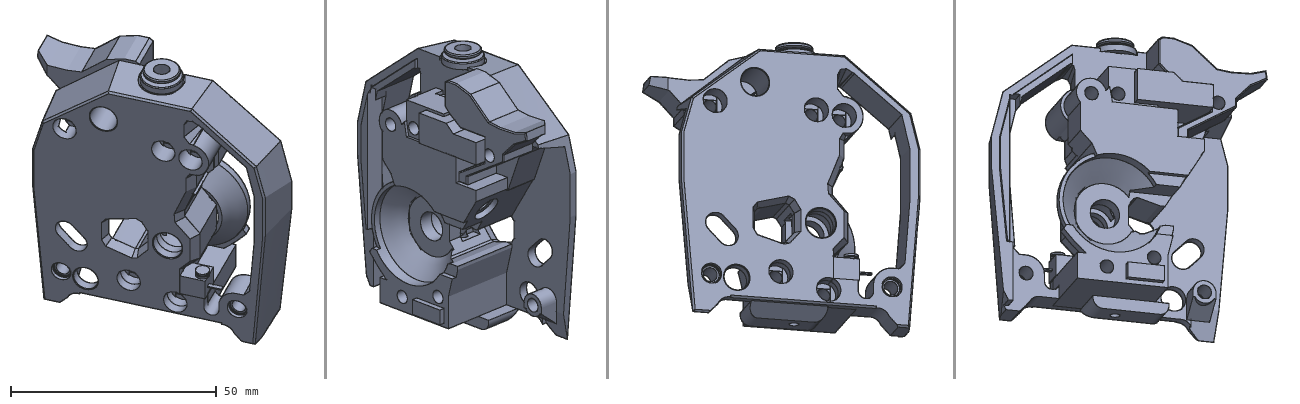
import cadquery as cq
import math

PLATE_Y = 2.6
FRAME_Y = 11.8
REAR_START_Y = 11.9
LEVER_BACK_Y = 22.2
REAR_BACK_Y = 23.0
ARM_BACK_Y = 24.7
FOOT_BACK_Y = 7.9
FOOT_TOP_Z = -19.5
FAR = 60.0

TOP_Z = 35.71
BOTTOM_Z = -35.7
PLATE_BOTTOM_Z = -31.4
REAR_LEFT_X = -17.2
REAR_RIGHT_X = 15.1
SEAM_Z = 4.5

LEVER_PIVOT = (-20.9, 18.1)
CORNER_BOSS = (11.5, 16.8)
BODY_SCREWS = [LEVER_PIVOT, (4.5, 17.7), CORNER_BOSS, (-4.4, -24.0), (7.6, -27.6)]
FOOT_SCREWS = [(-21.8, -25.7), (23.5, -25.7)]
GEAR_AXIS = (5.6, -10.9)
FILAMENT_X = 1.1
FILAMENT_Y = 8.5


def extrude_xz(sketch, y_from, y_to, taper=0.0):
    """Extrude a closed XZ sketch from y_from back to y_to."""
    return sketch.extrude(-(y_to - y_from), taper=taper).translate((0, y_from, 0))


def prism(points, y_from, y_to, taper=0.0):
    return extrude_xz(cq.Workplane("XZ").polyline(points).close(), y_from, y_to, taper)


def block(x_from, x_to, y_from, y_to, z_from, z_to):
    size = (x_to - x_from, y_to - y_from, z_to - z_from)
    return cq.Workplane("XY").box(*size, centered=False).translate((x_from, y_from, z_from))


def rod_y(center, diameter, y_from, y_to):
    """Cylinder along Y centred on (x, z)."""
    return extrude_xz(cq.Workplane("XZ").center(*center).circle(diameter / 2), y_from, y_to)


def rod_z(x, y, diameter, z_from, z_to):
    disc = cq.Workplane("XY").center(x, y).circle(diameter / 2)
    return disc.extrude(z_to - z_from).translate((0, 0, z_from))


def edged_hole(center, diameter, y_to, edge):
    """Plain hole from the front face with a small chamfer at its mouth."""
    mouth = cq.Workplane("XZ").center(*center).circle(diameter / 2 + edge)
    mouth = mouth.workplane(offset=-edge).circle(diameter / 2).loft()
    return rod_y(center, diameter, 0, y_to).union(mouth)


SCREW_D = 3.4
SCREW_HEAD_D = 6.0
SCREW_HEAD_DEPTH = 5.0
BRIDGE_STEP = 0.3


def screw_cutter(center):
    """Counterbored hole whose floor steps from a slot to a square to the round hole."""
    x, z = center
    half = SCREW_D / 2
    slot_end = SCREW_HEAD_DEPTH + BRIDGE_STEP
    head = rod_y(center, SCREW_HEAD_D, 0, SCREW_HEAD_DEPTH)
    slot = rod_y(center, SCREW_HEAD_D, SCREW_HEAD_DEPTH, slot_end).intersect(
        block(x - half, x + half, 0, FAR, z - SCREW_HEAD_D, z + SCREW_HEAD_D))
    square = block(x - half, x + half, slot_end, slot_end + BRIDGE_STEP, z - half, z + half)
    return head.union(slot).union(square).union(rod_y(center, SCREW_D, 0, FAR))


def cut_screws(body):
    for center in BODY_SCREWS:
        body = body.cut(screw_cutter(center))
    return body


INSPECTION = [(-11.4, -8.2), (-10.3, -6.8), (-2.5, -4.7), (-1.0, -5.4), (0.6, -7.9),
              (0.6, -13.4), (-2.2, -16.6), (-3.6, -17.0), (-10.3, -15.1), (-11.4, -13.4)]
INSPECTION_TAPER = 21.0
inspection_inset = PLATE_Y * math.tan(math.radians(INSPECTION_TAPER))

GEAR_BORE_D = 7.4
GEAR_POCKET_D = 9.8
GEAR_POCKET_Y = (4.9, 11.0)


SWITCH_LEFT_X = 8.7
SWITCH_RIGHT_X = 15.3
SWITCH_TOP_Z = -19.3
SWITCH_BOTTOM_Z = -24.7
SWITCH_BACK_Y = 6.0


OUTLINE_FRONT = [(-26.4, BOTTOM_Z), (-29.3, -1.9), (-29.3, 9.5), (-26.8, 18.6), (-9.8, 32.1),
                 (11.7, 32.1), (28.3, 18.7), (30.6, 9.7), (30.6, -2.0), (28.0, BOTTOM_Z)]
OUTLINE_BACK = [(-26.6, BOTTOM_Z), (-29.5, -1.8), (-29.5, 9.4), (-27.3, 19.6), (-11.0, 33.0),
                (13.1, 33.0), (30.6, 19.0), (33.45, 7.4), (33.45, -1.0), (30.1, BOTTOM_Z)]
FACE_CHAMFER = 0.5

WINDOW_BOSS_R = 4.7
POCKET_BACK_X = 12.25


def on_circle(center, radius, degrees):
    angle = math.radians(degrees)
    return (center[0] + radius * math.cos(angle), center[1] + radius * math.sin(angle))


def window_sketch():
    """Large opening at the right, bulging around the corner boss and the right foot screw."""
    foot = FOOT_SCREWS[1]
    slot_r = 1.9
    slot_left = foot[0] - WINDOW_BOSS_R - 2 * slot_r
    slot_z = -27.3
    return (
        cq.Workplane("XZ").moveTo(POCKET_BACK_X, 26.6)
        .lineTo(12.6, 27.7).lineTo(13.6, 27.9)
        .lineTo(25.9, 18.1).lineTo(27.9, 9.7).lineTo(27.9, -4.0).lineTo(26.7, FOOT_TOP_Z)
        .lineTo(25.2, foot[1] + WINDOW_BOSS_R).lineTo(foot[0], foot[1] + WINDOW_BOSS_R)
        .threePointArc(on_circle(foot, WINDOW_BOSS_R, 135), on_circle(foot, WINDOW_BOSS_R, 180))
        .lineTo(foot[0] - WINDOW_BOSS_R, slot_z)
        .threePointArc((slot_left + slot_r, slot_z - slot_r), (slot_left, slot_z))
        .lineTo(slot_left, SWITCH_BOTTOM_Z).lineTo(SWITCH_LEFT_X, SWITCH_BOTTOM_Z)
        .lineTo(SWITCH_LEFT_X, -18.9).lineTo(13.1, -14.6).lineTo(13.1, -7.2)
        .lineTo(9.2, -2.9).lineTo(9.2, -0.8).lineTo(12.1, 6.7).lineTo(12.1, 11.2)
        .lineTo(13.4, 12.5)
        .threePointArc(on_circle(CORNER_BOSS, WINDOW_BOSS_R, 0),
                       on_circle(CORNER_BOSS, WINDOW_BOSS_R, 80))
        .lineTo(POCKET_BACK_X, 21.5).close()
    )


def window_bevels():
    """Slanted walls where the left edge of the opening narrows toward the back."""
    edge_front = [(13.5, -20.0), (SWITCH_LEFT_X, -18.9), (SWITCH_LEFT_X, -17.2), (11.4, -14.2),
                  (11.4, -7.4), (7.5, -3.3), (7.3, -0.8), (10.3, 6.7), (10.3, 10.8),
                  (11.2, 12.3), (13.5, 12.5)]
    edge_back = [(13.5, -20.0), (SWITCH_LEFT_X, -18.9), (8.75, -18.85), (13.1, -14.6), (13.1, -7.2),
                 (9.3, -3.0), (9.2, -0.8), (12.1, 6.7), (12.1, 11.2), (12.5, 12.4), (13.5, 12.5)]
    pocket_front = [(14.0, 21.5), (11.3, 21.6), (9.8, 23.4), (9.8, 27.0), (10.5, 28.4), (12.0, 28.7),
                    (14.0, 27.6)]
    pocket_back = [(14.0, 21.5), (12.6, 21.5), (POCKET_BACK_X, 21.8), (POCKET_BACK_X, 26.6),
                   (12.6, 27.7), (13.0, 27.8), (14.0, 27.6)]
    lower = cq.Workplane("XZ").polyline(edge_front).close()
    lower = lower.workplane(offset=-PLATE_Y).polyline(edge_back).close().loft(ruled=True)
    upper = cq.Workplane("XZ").polyline(pocket_front).close()
    upper = upper.workplane(offset=-FRAME_Y).polyline(pocket_back).close().loft(ruled=True)
    return lower.union(upper)


def housing_shell():
    outline = cq.Workplane("XZ").workplane(offset=-FACE_CHAMFER).polyline(OUTLINE_FRONT).close()
    walls = outline.workplane(offset=FACE_CHAMFER - FRAME_Y).polyline(OUTLINE_BACK).close()
    outline = cq.Workplane("XZ").polyline(OUTLINE_FRONT).close()
    chamfered_face = outline.offset2D(-FACE_CHAMFER).extrude(-FACE_CHAMFER, taper=-45)
    shell = walls.loft(ruled=True).union(chamfered_face)
    gap_left, gap_right = -17.0, 19.5
    foot_gap = (
        cq.Workplane("XZ").moveTo(-22.5, BOTTOM_Z).lineTo(-20.1, -33.2)
        .threePointArc((-18.9, -31.8), (gap_left, PLATE_BOTTOM_Z)).lineTo(gap_right, PLATE_BOTTOM_Z)
        .threePointArc((21.5, -31.8), (22.7, -33.2)).lineTo(25.1, BOTTOM_Z).close()
    )
    bottom_chamfer = (
        cq.Workplane("YZ").polyline([(0, PLATE_BOTTOM_Z + FACE_CHAMFER), (0, PLATE_BOTTOM_Z),
                                     (FACE_CHAMFER, PLATE_BOTTOM_Z)]).close()
        .extrude(gap_right - gap_left).translate((gap_left, 0, 0))
    )
    return shell.cut(extrude_xz(foot_gap, 0, FRAME_Y)).cut(bottom_chamfer)


def mechanism_pocket():
    """Space behind the plate, under the upper wall and left of the right leg."""
    shoulder_z = 16.3
    below = block(-FAR, REAR_RIGHT_X, PLATE_Y, FAR, -FAR, SEAM_Z)
    beside = prism([(-FAR, SEAM_Z), (-FAR, shoulder_z), (-22.5, shoulder_z),
                    (-21.0, 14.5), (REAR_LEFT_X, SEAM_Z)], PLATE_Y, FAR)
    shoulder_slope = (
        cq.Workplane("YZ").polyline([(PLATE_Y, shoulder_z), (FRAME_Y, shoulder_z),
                                     (FRAME_Y, 18.7)]).close()
        .extrude(-FAR).translate((-22.5, 0, 0))
    )
    return below.union(beside).union(shoulder_slope)


def foot_relief():
    """Thins the left foot to a wedge and shortens the right foot and its screw boss."""
    left = (
        cq.Workplane("YZ").polyline([(PLATE_Y, -28.2), (0.5, BOTTOM_Z), (PLATE_Y, BOTTOM_Z)])
        .close().extrude(10).translate((-30, 0, 0))
    )
    right = block(20, FAR, FOOT_BACK_Y, FAR, BOTTOM_Z, -34.6)
    right_boss = block(15, 28, FOOT_BACK_Y, FAR, BOTTOM_Z, FOOT_TOP_Z)
    corner = prism([(28.6, BOTTOM_Z), (30.3, -32.5), (FAR, -32.5), (FAR, BOTTOM_Z)], 0, FAR)
    return left.union(right).union(right_boss).union(corner)


def leg_relief():
    """Long chamfer on the inner back edge of the right leg."""
    leg_height = 38.0
    section = [(26.5, 9.0), (27.9, 9.0), (29.2, FRAME_Y + LIP_HEIGHT), (26.5, FRAME_Y + LIP_HEIGHT)]
    return cq.Workplane("XY").polyline(section).close().extrude(leg_height).translate((0, 0, FOOT_TOP_Z))


LIP_INSET = 2.0
LIP_HEIGHT = 0.9


def rear_lip():
    """Low lip standing on the back of the right leg."""
    lip = cq.Workplane("XZ").polyline(OUTLINE_BACK).close().offset2D(-LIP_INSET)
    lip = extrude_xz(lip, FRAME_Y, FRAME_Y + LIP_HEIGHT)
    return lip.intersect(block(13.2, FAR, 0, FAR, FOOT_TOP_Z, FAR))


def bottom_tab():
    tab_left, tab_right = -11.4, 7.9
    tab_bottom = -34.5
    tab_radius = 2.5
    tab_front, tab_back = 1.65, 12.5
    tab = block(tab_left, tab_right, tab_front, tab_back, tab_bottom, PLATE_BOTTOM_Z)
    slope = (
        cq.Workplane("YZ").polyline([(tab_front, PLATE_BOTTOM_Z), (5.5, tab_bottom),
                                     (tab_front, tab_bottom)]).close()
        .extrude(2 * FAR, both=True)
    )
    return tab.edges("|Y and <Z").fillet(tab_radius).cut(slope)


def foot_standoff():
    """Boss behind the left foot screw, running down into the plate as a ramp."""
    x, z = FOOT_SCREWS[0]
    radius = 2.9
    boss = rod_y((x, z), 2 * radius, PLATE_Y, FOOT_BACK_Y)
    ramp = (
        cq.Workplane("YZ").polyline([(PLATE_Y, z), (FOOT_BACK_Y, z), (FOOT_BACK_Y, z - 1.5),
                                     (PLATE_Y, PLATE_BOTTOM_Z)]).close()
        .extrude(2 * radius).translate((x - radius, 0, 0))
    )
    return boss.union(ramp)


def foot_screw_cutter(center):
    seat = rod_y(center, 5.0, 0, 1.0)
    relief = rod_y(center, 4.4, 1.0, 1.4)
    return seat.union(relief).union(rod_y(center, 3.5, 0, FAR))


def adjuster_slot():
    slot = cq.Workplane("XZ").center(-19.2, -14.3).transformed(rotate=(0, 0, -45))
    return extrude_xz(slot.slot2D(9.4, 5.2), 0, PLATE_Y)


FITTING_D = 10.5
SOCKET_D = 11.4
FITTING_SEAT_Z = 32.2
COLLET_NECK_D = 6.2
COLLET_BOTTOM_Z = 28.0
FILAMENT_D = 2.4


def fitting_socket():
    socket = rod_z(FILAMENT_X, FILAMENT_Y, SOCKET_D, FITTING_SEAT_Z, FAR)
    stem = rod_z(FILAMENT_X, FILAMENT_Y, COLLET_NECK_D, COLLET_BOTTOM_Z, FAR)
    return socket.union(stem).union(filament_path())


def filament_path():
    return rod_z(FILAMENT_X, FILAMENT_Y, FILAMENT_D, -FAR, FAR)


def make_front_housing():
    body = housing_shell().cut(mechanism_pocket()).cut(foot_relief())
    body = body.union(rear_lip()).cut(leg_relief())
    body = body.cut(extrude_xz(window_sketch(), 0, FAR)).cut(window_bevels())
    body = body.union(bottom_tab()).union(foot_standoff())
    body = cut_screws(body).cut(fitting_socket())
    for center in FOOT_SCREWS:
        body = body.cut(foot_screw_cutter(center))
    body = body.cut(prism(INSPECTION, 0, PLATE_Y, INSPECTION_TAPER)).cut(adjuster_slot())
    body = body.cut(edged_hole((-15.5, -26.3), 6.25, PLATE_Y, 0.2))
    body = body.cut(edged_hole((-10.9, 23.6), 7.0, FRAME_Y, 0.15))
    return body.cut(edged_hole(GEAR_AXIS, GEAR_BORE_D, PLATE_Y, 0.2))


CUP_RIM_R = 13.7
CUP_FLOOR_Y = 14.8
CUP_RIM_FRONT_Y = 19.7
CUP_RIM_BACK_Y = 21.6
CUP_WALL = 1.0


def revolve_about_gear(profile):
    """Revolve (radius, y) points about the gear axis, which runs along Y."""
    ring = cq.Workplane("XY").polyline(profile).close().revolve(360, (0, 0, 0), (0, 1, 0))
    return ring.translate((GEAR_AXIS[0], 0, GEAR_AXIS[1]))


cup_floor_r = CUP_RIM_R - (CUP_RIM_FRONT_Y - CUP_FLOOR_Y)


def gear_cup():
    return revolve_about_gear([(0, CUP_FLOOR_Y), (cup_floor_r, CUP_FLOOR_Y),
                               (CUP_RIM_R, CUP_RIM_FRONT_Y), (CUP_RIM_R, CUP_RIM_BACK_Y),
                               (0, CUP_RIM_BACK_Y)])


def gear_cup_cavity():
    cavity_r = CUP_RIM_R - CUP_WALL
    return revolve_about_gear([(0, CUP_FLOOR_Y), (cup_floor_r - CUP_WALL, CUP_FLOOR_Y),
                               (cavity_r, CUP_RIM_FRONT_Y), (cavity_r, FAR), (0, FAR)])


SLOPE_START = (REAR_LEFT_X, 5.0)
SLOPE_END = (-9.7, -7.3)

REAR_OUTLINE = [(REAR_LEFT_X, 14.9), (11.0, 15.2), (14.3, 16.8), (14.3, 6.9), (11.4, 3.9),
                (9.1, -1.2), (9.1, -2.7), (13.0, -7.1), (13.0, -14.6), (8.8, -18.6),
                (8.8, SWITCH_BOTTOM_Z), (REAR_RIGHT_X, SWITCH_BOTTOM_Z), (REAR_RIGHT_X, PLATE_BOTTOM_Z),
                (-7.9, PLATE_BOTTOM_Z), (-7.9, -23.0), (-9.7, -15.8), SLOPE_END, SLOPE_START]


def tension_hole():
    """Counterbored hole, square to the sloping lower left face."""
    across = (SLOPE_END[0] - SLOPE_START[0], SLOPE_END[1] - SLOPE_START[1])
    origin = (SLOPE_START[0] + 0.4 * across[0], 16.2, SLOPE_START[1] + 0.4 * across[1])
    plane = cq.Plane(origin=origin, xDir=(0, 1, 0), normal=(-across[1], 0, across[0]))
    bore = cq.Workplane(plane).circle(2.2).extrude(8)
    return bore.union(cq.Workplane(plane).circle(3.5).extrude(1.5))


def upper_block():
    """Wall behind the fitting, with a shallow recess that clears the fitting."""
    block_top_z = 24.5
    wall = block(-5.6, 6.9, REAR_START_Y, LEVER_BACK_Y, 14.0, block_top_z)
    recess = block(-FAR, 4.5, 0, 14.5, 23.5, FAR)
    link = prism([(6.9, 19.0), (8.2, 17.5), (11.5, 14.0), (6.0, 14.0)], REAR_START_Y, REAR_BACK_Y)
    boss = rod_y(CORNER_BOSS, 7.7, REAR_START_Y, REAR_BACK_Y)
    return wall.cut(recess).union(link).union(boss)


def rear_flange():
    """Corner of the back wall that shows beside the cup."""
    return prism([(8.8, -17.8), (17.8, -17.8), (18.6, -18.9), (16.0, -21.8), (12.9, SWITCH_BOTTOM_Z),
                  (8.8, SWITCH_BOTTOM_Z)], CUP_RIM_BACK_Y - CUP_WALL, REAR_BACK_Y)


def make_rear_housing():
    body = prism(REAR_OUTLINE, PLATE_Y, REAR_BACK_Y)
    body = body.cut(block(-FAR, FAR, 0, REAR_START_Y, SEAM_Z, FAR))
    body = body.union(upper_block()).union(gear_cup()).union(rear_flange())
    body = body.union(block(-6.5, 2.7, REAR_BACK_Y, ARM_BACK_Y - 0.2, -30.3, -26.4))
    body = body.cut(block(-FAR, FAR, CUP_RIM_BACK_Y, FAR, -17.8, -1.8))
    body = body.cut(gear_cup_cavity())
    body = body.cut(block(-4.0, FILAMENT_X, *GEAR_POCKET_Y, -14.0, -7.6))
    inspection = cq.Workplane("XZ").polyline(INSPECTION).close().offset2D(-inspection_inset)
    body = body.cut(extrude_xz(inspection, 0, FAR))
    body = body.cut(block(-FAR, -6.0, 0, FAR, -14.8, -7.3))
    body = body.cut(block(-FAR, -0.5, CUP_FLOOR_Y, FAR, -14.8, -4.5))
    body = body.cut(rod_y(GEAR_AXIS, GEAR_BORE_D, 0, FAR))
    body = body.cut(rod_y(GEAR_AXIS, GEAR_POCKET_D, *GEAR_POCKET_Y))
    body = body.cut(filament_path()).cut(tension_hole())
    body = body.cut(bottom_tab()).cut(rear_lip()).cut(lever_space()).cut(arm_blank())
    return cut_screws(body)


def arm_blank():
    return prism([(-18.9, 21.7), (-11.2, 21.7), (-8.8, 23.8), (0.3, 23.8), (0.3, 15.8),
                  (-18.9, 15.8)], REAR_START_Y, ARM_BACK_Y)


def make_tension_arm():
    return cut_screws(arm_blank())


LEVER_TIP_X = -33.44
LEVER_BOTTOM_Z = 8.0
LEVER_FOOT_X = -10.5
LEVER_EDGE = 0.3


def lever_blank():
    return prism([(LEVER_TIP_X, 25.6), (-33.1, 27.8), (-29.3, 26.7), (-24.4, 26.5), (-20.7, 26.9),
                  (-14.4, 32.3), (-9.7, 33.7), (-6.8, 33.7), (-5.8, 33.0), (-5.8, 26.6),
                  (-7.4, 25.0), (-11.0, 22.4), (-19.1, 22.4), (-19.1, 15.7),
                  (LEVER_FOOT_X, 10.6), (LEVER_FOOT_X, LEVER_BOTTOM_Z), (-13.4, LEVER_BOTTOM_Z),
                  (-13.4, 10.2), (-25.6, 17.6), (-25.6, 19.6), (-29.3, 23.4)],
                 REAR_START_Y, LEVER_BACK_Y)


def lever_space():
    return block(-FAR, LEVER_FOOT_X + 0.1, REAR_START_Y, FAR, LEVER_BOTTOM_Z, FAR)


def make_lever():
    tip_bevel = (
        cq.Workplane("XY").polyline([(LEVER_TIP_X, REAR_START_Y), (LEVER_TIP_X, 15.7),
                                     (-29.6, REAR_START_Y)]).close()
        .extrude(FAR)
    )
    lever = lever_blank().faces(">Y").edges().chamfer(LEVER_EDGE).cut(tip_bevel)
    return cut_screws(lever)


SLEEVE_TOP_Z = 34.0
COLLET_RIM_D = 9.1
COLLET_RIM_Z = 34.6
TUBE_D = 4.0


def make_sleeve():
    sleeve = rod_z(FILAMENT_X, FILAMENT_Y, FITTING_D, FITTING_SEAT_Z, SLEEVE_TOP_Z)
    sleeve = sleeve.faces(">Z").edges().chamfer(0.25)
    return sleeve.cut(rod_z(FILAMENT_X, FILAMENT_Y, COLLET_NECK_D, COLLET_BOTTOM_Z, TOP_Z))


def make_collet():
    rim = rod_z(FILAMENT_X, FILAMENT_Y, COLLET_RIM_D, COLLET_RIM_Z, TOP_Z).edges().chamfer(0.3)
    neck = rod_z(FILAMENT_X, FILAMENT_Y, COLLET_NECK_D, COLLET_BOTTOM_Z, COLLET_RIM_Z)
    return rim.union(neck).cut(rod_z(FILAMENT_X, FILAMENT_Y, TUBE_D, COLLET_BOTTOM_Z, TOP_Z))


BUTTON_X = 13.8
BUTTON_Y = 2.3
BUTTON_TOP_Z = -17.9


def make_switch():
    return block(SWITCH_LEFT_X + 0.1, SWITCH_RIGHT_X, 0, SWITCH_BACK_Y, SWITCH_BOTTOM_Z, SWITCH_TOP_Z)


def make_button():
    """Stepped plunger: two flanges with a groove between them."""
    button = rod_z(BUTTON_X, BUTTON_Y, 2.8, SWITCH_TOP_Z, BUTTON_TOP_Z)
    lower = rod_z(BUTTON_X, BUTTON_Y, 3.5, SWITCH_TOP_Z, SWITCH_TOP_Z + 0.6)
    upper = rod_z(BUTTON_X, BUTTON_Y, 3.5, BUTTON_TOP_Z - 0.5, BUTTON_TOP_Z)
    return button.union(lower).union(upper)


def make_terminal():
    return block(SWITCH_RIGHT_X, 18.9, 1.7, 2.85, -22.4, -22.05)


front_housing = make_front_housing()
rear_housing = make_rear_housing().cut(make_switch())
tension_arm = make_tension_arm()
lever = make_lever()
sleeve = make_sleeve()
collet = make_collet()
switch = make_switch()
button = make_button()
terminal = make_terminal()

result = cq.Compound.makeCompound([
    front_housing.val(), rear_housing.val(), tension_arm.val(), lever.val(), sleeve.val(),
    collet.val(), switch.val(), button.val(), terminal.val(),
])